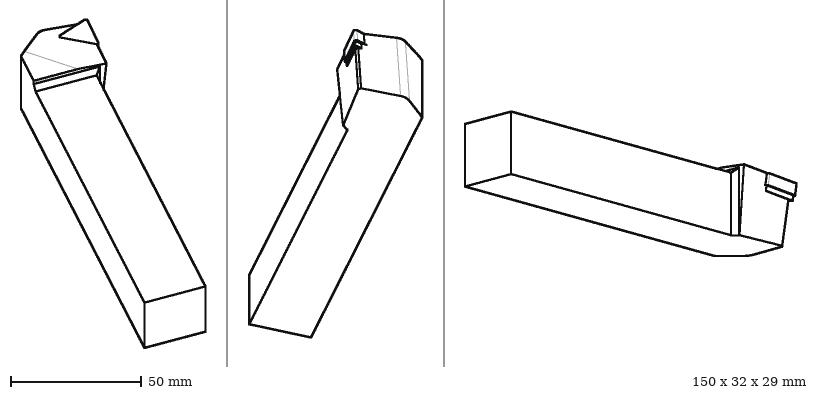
import cadquery as cq
import math

LENGTH = 150.0
SHANK = 25.0
HEAD_HEIGHT = 29.0
HEAD_BACK_X = 27.3
STEP_LEG = 2.1
TOTAL_WIDTH = 32.0

RAKE_SLOPE = 0.13
RAKE_FOLD_OFFSET = 9.2
lean = RAKE_SLOPE / math.sqrt(2)
rake_normal = cq.Vector(-lean, lean, 1)

BEVEL_X = 13.2
SIDE_CORNER_X = 3.8
NOSE_CORNER_X = 4.2
NOSE_CORNER_Y = 28.6
NOSE_CHAMFER = 0.9
SIDE_RADIUS = 5.7
EDGE_ANGLE = 3.0
OVERRUN = 12.0

INSERT_RADIUS = 0.8
INSERT_SIDE = 16.5
INSERT_THICKNESS = 4.8
SEAT_RADIUS = 0.2
SEAT_THICKNESS = 2.2

insert_pitch = INSERT_SIDE - 2 * math.sqrt(3) * INSERT_RADIUS


def rake_height(x, y):
    """Height of the rake plane above the base."""
    return HEAD_HEIGHT - lean * (y - x + RAKE_FOLD_OFFSET)


def make_leaning_block():
    """Head outline swept along the rake normal."""
    far_x = HEAD_BACK_X + OVERRUN
    rear_y = NOSE_CORNER_Y - (far_x - NOSE_CORNER_X) * math.tan(math.radians(EDGE_ANGLE))
    corners = [
        (BEVEL_X + OVERRUN, -OVERRUN),
        (SIDE_CORNER_X, BEVEL_X - SIDE_CORNER_X),
        (NOSE_CORNER_X, NOSE_CORNER_Y - NOSE_CHAMFER),
        (NOSE_CORNER_X + NOSE_CHAMFER, NOSE_CORNER_Y),
        (far_x, rear_y),
        (far_x, -OVERRUN),
    ]
    wire = cq.Workplane("XY").polyline(corners).close().val()
    side_corner = min(wire.Vertices(), key=lambda v: v.X)
    outline = cq.Face.makeFromWires(wire).fillet2D(SIDE_RADIUS, [side_corner])
    return cq.Workplane(cq.Solid.extrudeLinear(outline, rake_normal * (HEAD_HEIGHT + OVERRUN)))


def make_trim():
    """Space left for the head in front of its rear wall and sloped step."""
    front = cq.Workplane("XY").box(
        HEAD_BACK_X + OVERRUN, TOTAL_WIDTH, HEAD_HEIGHT, centered=False
    ).translate((-OVERRUN, 0, 0))
    step = (
        cq.Workplane("XY")
        .box(HEAD_BACK_X + STEP_LEG, SHANK + STEP_LEG, SHANK + STEP_LEG, centered=False)
        .edges(">X and (>Y or >Z)")
        .chamfer(STEP_LEG)
    )
    return front.union(step)


def rake_plane(x, y):
    """Workplane on the rake face, with its X axis above the part's X axis."""
    return cq.Plane(origin=(x, y, rake_height(x, y)), xDir=(1, 0, lean), normal=rake_normal.toTuple())


def make_triangle(corner_radius, depth):
    """Round-cornered triangular prism reaching down from the rake face."""
    nose_x = INSERT_RADIUS
    nose_y = TOTAL_WIDTH - INSERT_RADIUS
    angles = [math.radians(-EDGE_ANGLE - turn) for turn in (0, 60)]
    centres = [(0, 0)] + [(insert_pitch * math.cos(a), insert_pitch * math.sin(a)) for a in angles]
    return (
        cq.Workplane(rake_plane(nose_x, nose_y))
        .polyline(centres)
        .close()
        .offset2D(corner_radius)
        .extrude(-depth)
    )


def make_insert():
    """Triangular cutting insert, flush with the rake face."""
    return make_triangle(INSERT_RADIUS, INSERT_THICKNESS)


def make_holder(insert):
    """Shank and head in one piece, with the insert's seat and pocket."""
    head = make_leaning_block().intersect(make_trim())
    above_rake = cq.Workplane(rake_plane(0, 0)).rect(2 * LENGTH, 2 * LENGTH).extrude(OVERRUN)
    head = head.cut(above_rake)
    seat = make_triangle(SEAT_RADIUS, INSERT_THICKNESS + SEAT_THICKNESS)
    shank_start = HEAD_BACK_X - STEP_LEG
    shank = cq.Workplane("XY").box(LENGTH - shank_start, SHANK, SHANK, centered=False)
    return head.union(seat).union(shank.translate((shank_start, 0, 0))).cut(insert)


insert = make_insert()
holder = make_holder(insert)
result = cq.Compound.makeCompound([holder.val(), insert.val()])